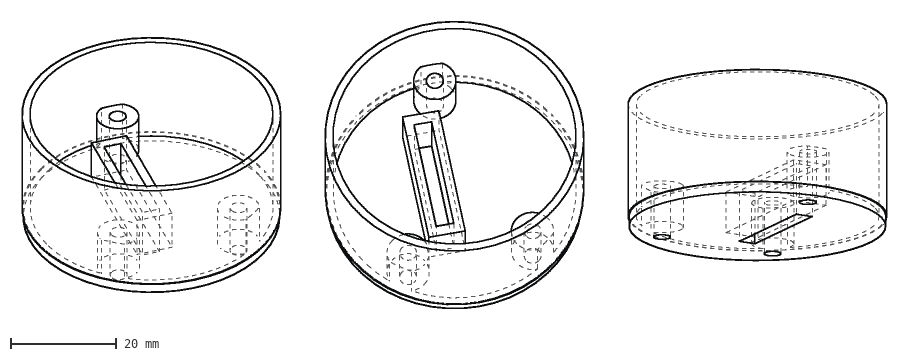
import cadquery as cq

outer_diameter = 49.0
inner_diameter = 46.0
height = 24.0
floor_thickness = 2.0
base_diameter = 48.6

boss_diameter = 8.0
boss_hole_diameter = 3.2
lone_boss_x = -19.5
paired_boss_x = 15.55
paired_boss_y = 12.0
inner_feature_height = 8.0

slot_length = 22.05
slot_width = 3.4
frame_length = 26.15
frame_width = 7.0
slot_center_y = -3.95

boss_centers = [
    (lone_boss_x, 0),
    (paired_boss_x, paired_boss_y),
    (paired_boss_x, -paired_boss_y),
]


def make_cup():
    """Round open-topped cup with a stepped-in base."""
    base = cq.Workplane("XY").circle(base_diameter / 2).extrude(floor_thickness)
    wall = (
        cq.Workplane("XY", origin=(0, 0, floor_thickness))
        .circle(outer_diameter / 2)
        .circle(inner_diameter / 2)
        .extrude(height - floor_thickness)
    )
    return base.union(wall)


def make_bosses():
    """Screw bosses standing on the floor and merging into the wall."""
    return (
        cq.Workplane("XY", origin=(0, 0, floor_thickness))
        .pushPoints(boss_centers)
        .circle(boss_diameter / 2)
        .extrude(inner_feature_height)
    )


def make_slot_frame():
    """Solid block that the slot turns into a raised frame."""
    return (
        cq.Workplane("XY", origin=(0, 0, floor_thickness))
        .center(0, slot_center_y)
        .rect(frame_length, frame_width)
        .extrude(inner_feature_height)
    )


def make_screw_holes():
    """Holes along the full height of the bosses and floor."""
    return (
        cq.Workplane("XY")
        .pushPoints(boss_centers)
        .circle(boss_hole_diameter / 2)
        .extrude(height)
    )


def make_slot():
    """Slot through the frame and floor."""
    return (
        cq.Workplane("XY")
        .center(0, slot_center_y)
        .rect(slot_length, slot_width)
        .extrude(height)
    )


body = make_cup().union(make_bosses()).union(make_slot_frame())
result = body.cut(make_screw_holes()).cut(make_slot())